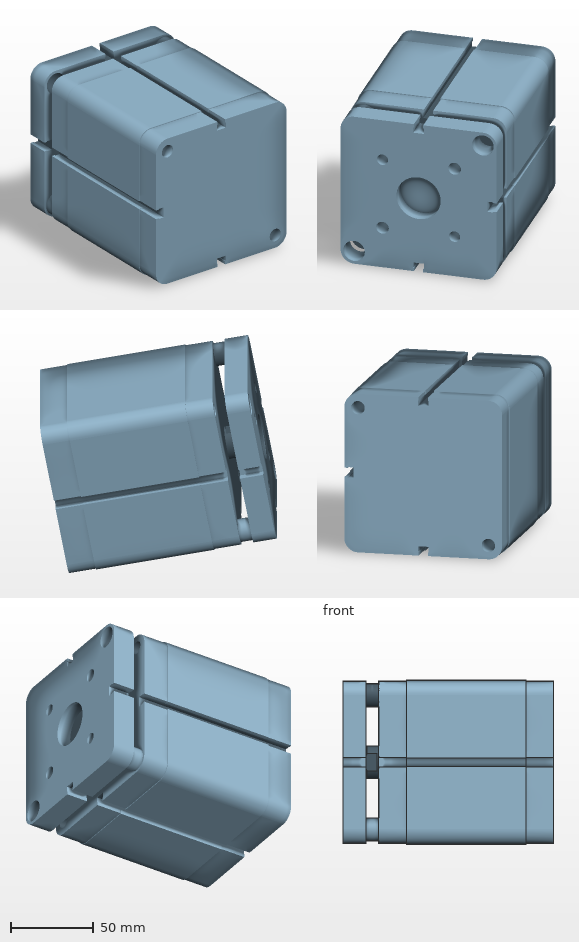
import cadquery as cq


total_length = 128.5
plate_thickness = 14.3
plate_gap = 7.6
cap_length = 16.8
front_cap_start = plate_thickness + plate_gap
barrel_start = front_cap_start + cap_length
rear_cap_start = total_length - cap_length
barrel_length = rear_cap_start - barrel_start

barrel_width = 100.0
cap_width = 99.0
corner_offset = 40.9

slot_floor = 43.7
slot_shoulder = 47.3
slot_width = 6.8
cap_slot_neck = 5.9
barrel_slot_neck = 5.3
slot_angles = (0, 90, 180)

guide_rod_diameter = 14.1
access_hole_diameter = 13.5
screw_hole_diameter = 8.4

piston_rod_diameter = 20.0
width_across_flats = 17.0
flat_length = 6.5
piston_rod_chamfer = 0.5

recess_diameter = 28.0
recess_depth = 9.3
plate_hole_offset = 22.9
small_plate_hole_diameter = 7.1
large_plate_hole_diameter = 8.0

axis_point = [(0, 0)]


def rising_diagonal(offset):
    return [(offset, offset), (-offset, -offset)]


def falling_diagonal(offset):
    return [(-offset, offset), (offset, -offset)]


guide_rod_centres = rising_diagonal(corner_offset)
screw_centres = falling_diagonal(corner_offset)


def yz_plane(x):
    """Workplane at X = x whose local axes are Y and Z and whose normal is +X."""
    return cq.Workplane("YZ", origin=(x, 0, 0))


def cylinders(x, length, diameter, centres):
    return yz_plane(x).pushPoints(centres).circle(diameter / 2).extrude(length)


def slot_cutter(x, length, section_width, neck):
    """T-slot cutter for the +Z side of a section."""
    undercut_height = slot_shoulder - slot_floor
    lip_height = section_width / 2 - slot_shoulder
    undercut_middle = slot_floor + undercut_height / 2
    lip_middle = slot_shoulder + lip_height / 2
    undercut = yz_plane(x).center(0, undercut_middle).rect(slot_width, undercut_height).extrude(length)
    opening = yz_plane(x).center(0, lip_middle).rect(neck, lip_height).extrude(length)
    return undercut.union(opening)


def slotted_block(x, length, section_width, neck):
    corner_radius = section_width / 2 - corner_offset
    block = yz_plane(x).rect(section_width, section_width).extrude(length)
    block = block.edges("|X").fillet(corner_radius)
    cutter = slot_cutter(x, length, section_width, neck)
    for angle in slot_angles:
        block = block.cut(cutter.rotate((0, 0, 0), (1, 0, 0), angle))
    return block


def make_plate():
    """Front plate together with the two guide rods that stand on its back face."""
    plate = slotted_block(0, plate_thickness, cap_width, cap_slot_neck)
    small_hole_centres = rising_diagonal(plate_hole_offset)
    large_hole_centres = falling_diagonal(plate_hole_offset)
    plate = plate.cut(cylinders(0, recess_depth, recess_diameter, axis_point))
    plate = plate.cut(cylinders(0, plate_thickness, access_hole_diameter, screw_centres))
    plate = plate.cut(cylinders(0, plate_thickness, small_plate_hole_diameter, small_hole_centres))
    plate = plate.cut(cylinders(0, plate_thickness, large_plate_hole_diameter, large_hole_centres))
    return plate.union(cylinders(plate_thickness, plate_gap, guide_rod_diameter, guide_rod_centres))


def make_piston_rod():
    """Rod between the plate and the front cap, with two wrench flats facing -Y and +Y."""
    rod = cylinders(plate_thickness, plate_gap, piston_rod_diameter, axis_point)
    rod = rod.faces("<X").chamfer(piston_rod_chamfer)
    outside_flats = (
        yz_plane(plate_thickness)
        .rect(piston_rod_diameter, piston_rod_diameter)
        .rect(width_across_flats, piston_rod_diameter)
        .extrude(flat_length)
    )
    return rod.cut(outside_flats)


def make_cap(x):
    cap = slotted_block(x, cap_length, cap_width, cap_slot_neck)
    return cap.cut(cylinders(x, cap_length, screw_hole_diameter, screw_centres))


def make_barrel():
    barrel = slotted_block(barrel_start, barrel_length, barrel_width, barrel_slot_neck)
    return barrel.cut(cylinders(barrel_start, barrel_length, screw_hole_diameter, screw_centres))


plate = make_plate()
piston_rod = make_piston_rod()
barrel = make_barrel()
caps = [make_cap(start) for start in (front_cap_start, rear_cap_start)]

result = cq.Compound.makeCompound(
    [plate.val(), piston_rod.val(), barrel.val(), *[cap.val() for cap in caps]]
)